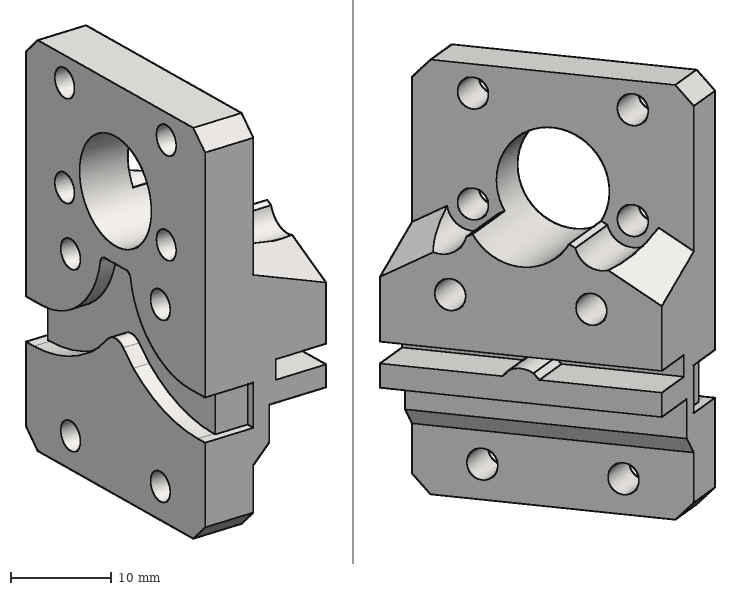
import cadquery as cq
import math


HEIGHT = 45
WIDTH = 30.0
HALF_WIDTH = WIDTH / 2
PLATE_DEPTH = 6.0
DEPTH = 15.0
CORNER_CHAMFER = 2.0

BORE_DIAMETER = 12.0
BORE_Z = 33.25
SCREW_DIAMETER = 3.3
OUTER_SCREW_X = 8.5
INNER_SCREW_X = 7.5
HEAD_SCREW_Z = 30.5
UPPER_SCREW_Z = 42.0
MIDDLE_SCREW_Z = 23.62
LOWER_SCREW_Z = 3.7
HEAD_RADIUS = 2.8

STEP_DEPTH = 7.95
STEP_CHAMFER = STEP_DEPTH - PLATE_DEPTH
STEP_Z = 9.15
BLOCK_BOTTOM = 13.25
BLOCK_TOP = 36
ROOF_EDGE_PLATE_Z = 28.0
ROOF_EDGE_REAR_Z = 24.7
ROOF_SLOPE = 0.55
RIDGE_X = 5.18
RIDGE_Z = 30.1
RIDGE_SLOPE = 0.5

SLOT_DEPTH = 6.2
SLOT_FLOOR = 15.75
SLOT_CEILING = 18
HUMP_HALF_WIDTH = 1.35
HUMP_EDGE_Z = 16.4
HUMP_TOP_Z = 16.75

GROOVE_DEPTH = 2.0
GROOVE_END_BOTTOM = 11.25
GROOVE_END_TOP = 16.2
GROOVE_PEAK = 25.3
UPPER_ARC_RADIUS = 10.12
UPPER_ARC_X = 12.5
LOWER_ARC_RADIUS = 17.32
LOWER_ARC_X = 13.72
LOWER_ARC_END_X = 2.95
GROOVE_FILLET = 0.75
HILL_TOP_Z = 17.15
HILL_RADIUS = 1.8
NOTCH_WIDTH = 1.0


def xz_plane(y):
    """Workplane with local axes X and Z, extruding toward +Y for negative lengths."""
    return cq.Workplane("XZ", origin=(0, y, 0))


def box(x_range, y_range, z_range):
    sizes = [high - low for low, high in (x_range, y_range, z_range)]
    corner = (x_range[0], y_range[0], z_range[0])
    return cq.Workplane("XY").box(*sizes, centered=False).translate(corner)


def plate():
    body = box((-HALF_WIDTH, HALF_WIDTH), (0, PLATE_DEPTH), (0, HEIGHT))
    return body.edges("|Y").chamfer(CORNER_CHAMFER)


def rear_block():
    """Stepped block on the rear face, before its roof is cut."""
    return (
        cq.Workplane("YZ", origin=(-HALF_WIDTH, 0, 0))
        .moveTo(PLATE_DEPTH, STEP_Z - STEP_CHAMFER)
        .lineTo(STEP_DEPTH, STEP_Z)
        .lineTo(STEP_DEPTH, BLOCK_BOTTOM)
        .lineTo(DEPTH, BLOCK_BOTTOM)
        .lineTo(DEPTH, BLOCK_TOP)
        .lineTo(PLATE_DEPTH, BLOCK_TOP)
        .close()
        .extrude(WIDTH)
    )


def roof_section(y, edge_z, side):
    """Region above the inclined roof, from the side wall in to the screw axis."""
    inner_z = edge_z + (HALF_WIDTH - OUTER_SCREW_X) * ROOF_SLOPE
    return cq.Wire.makePolygon(
        [
            cq.Vector(side * HALF_WIDTH, y, edge_z),
            cq.Vector(side * OUTER_SCREW_X, y, inner_z),
            cq.Vector(side * OUTER_SCREW_X, y, BLOCK_TOP),
            cq.Vector(side * HALF_WIDTH, y, BLOCK_TOP),
        ],
        close=True,
    )


def side_roof_cut(side):
    front = roof_section(PLATE_DEPTH, ROOF_EDGE_PLATE_Z, side)
    rear = roof_section(DEPTH, ROOF_EDGE_REAR_Z, side)
    return cq.Workplane(obj=cq.Solid.makeLoft([front, rear], True))


def ridge_cut():
    """Gabled top between the two screw-head clearances."""
    gable_rise = RIDGE_X * RIDGE_SLOPE
    foot_drop = (OUTER_SCREW_X - RIDGE_X) * RIDGE_SLOPE
    return (
        xz_plane(PLATE_DEPTH)
        .moveTo(-OUTER_SCREW_X, RIDGE_Z - foot_drop)
        .lineTo(0, RIDGE_Z + gable_rise)
        .lineTo(OUTER_SCREW_X, RIDGE_Z - foot_drop)
        .lineTo(OUTER_SCREW_X, BLOCK_TOP)
        .lineTo(-OUTER_SCREW_X, BLOCK_TOP)
        .close()
        .extrude(PLATE_DEPTH - DEPTH)
    )


def head_clearances():
    return (
        xz_plane(PLATE_DEPTH)
        .pushPoints([(side * OUTER_SCREW_X, HEAD_SCREW_Z) for side in (-1, 1)])
        .circle(HEAD_RADIUS)
        .extrude(PLATE_DEPTH - DEPTH)
    )


def rear_slot():
    """Slot across the rear face, with a round-topped hump in its floor."""
    foot_x = HUMP_HALF_WIDTH + HUMP_EDGE_Z - SLOT_FLOOR
    return (
        xz_plane(DEPTH - SLOT_DEPTH)
        .moveTo(-HALF_WIDTH, SLOT_FLOOR)
        .lineTo(-foot_x, SLOT_FLOOR)
        .lineTo(-HUMP_HALF_WIDTH, HUMP_EDGE_Z)
        .threePointArc((0, HUMP_TOP_Z), (HUMP_HALF_WIDTH, HUMP_EDGE_Z))
        .lineTo(foot_x, SLOT_FLOOR)
        .lineTo(HALF_WIDTH, SLOT_FLOOR)
        .lineTo(HALF_WIDTH, SLOT_CEILING)
        .lineTo(-HALF_WIDTH, SLOT_CEILING)
        .close()
        .extrude(-SLOT_DEPTH)
    )


def upper_arc_z(x):
    center_z = GROOVE_END_TOP + UPPER_ARC_RADIUS
    return center_z - math.sqrt(UPPER_ARC_RADIUS**2 - (UPPER_ARC_X - x) ** 2)


def lower_arc_z(x):
    center_z = GROOVE_END_BOTTOM + LOWER_ARC_RADIUS
    return center_z - math.sqrt(LOWER_ARC_RADIUS**2 - (LOWER_ARC_X - x) ** 2)


def front_groove():
    """Arched groove between two pairs of arcs, with a rounded hill in its lower edge."""
    peak_drop = GROOVE_END_TOP + UPPER_ARC_RADIUS - GROOVE_PEAK
    peak_x = UPPER_ARC_X - math.sqrt(UPPER_ARC_RADIUS**2 - peak_drop**2)
    upper_middle_x = UPPER_ARC_X - UPPER_ARC_RADIUS * math.sin(math.radians(45))
    upper_middle_z = upper_arc_z(upper_middle_x)
    lower_middle_x = (LOWER_ARC_X + LOWER_ARC_END_X) / 2
    lower_middle_z = lower_arc_z(lower_middle_x)
    lower_end_z = lower_arc_z(LOWER_ARC_END_X)
    hill_x = HILL_RADIUS * math.sin(math.radians(45))
    hill_z = HILL_TOP_Z - HILL_RADIUS + hill_x
    groove = (
        xz_plane(0)
        .moveTo(-HALF_WIDTH, GROOVE_END_BOTTOM)
        .lineTo(-LOWER_ARC_X, GROOVE_END_BOTTOM)
        .threePointArc((-lower_middle_x, lower_middle_z), (-LOWER_ARC_END_X, lower_end_z))
        .lineTo(-hill_x, hill_z)
        .threePointArc((0, HILL_TOP_Z), (hill_x, hill_z))
        .lineTo(LOWER_ARC_END_X, lower_end_z)
        .threePointArc((lower_middle_x, lower_middle_z), (LOWER_ARC_X, GROOVE_END_BOTTOM))
        .lineTo(HALF_WIDTH, GROOVE_END_BOTTOM)
        .lineTo(HALF_WIDTH, GROOVE_END_TOP)
        .lineTo(UPPER_ARC_X, GROOVE_END_TOP)
        .threePointArc((upper_middle_x, upper_middle_z), (peak_x, GROOVE_PEAK))
        .lineTo(-peak_x, GROOVE_PEAK)
        .threePointArc((-upper_middle_x, upper_middle_z), (-UPPER_ARC_X, GROOVE_END_TOP))
        .lineTo(-HALF_WIDTH, GROOVE_END_TOP)
        .close()
        .extrude(-GROOVE_DEPTH)
    )
    return groove.edges("|Y").edges(">Z").fillet(GROOVE_FILLET)


def edge_notch(side):
    """Notch through the plate's thickness at one end of the groove."""
    x_range = sorted((side * (HALF_WIDTH - NOTCH_WIDTH), side * HALF_WIDTH))
    return box(x_range, (0, PLATE_DEPTH), (GROOVE_END_BOTTOM, GROOVE_END_TOP))


def through_holes():
    screw_rows = [
        (OUTER_SCREW_X, UPPER_SCREW_Z),
        (OUTER_SCREW_X, HEAD_SCREW_Z),
        (INNER_SCREW_X, MIDDLE_SCREW_Z),
        (INNER_SCREW_X, LOWER_SCREW_Z),
    ]
    points = [(side * x, z) for x, z in screw_rows for side in (-1, 1)]
    screws = xz_plane(0).pushPoints(points).circle(SCREW_DIAMETER / 2).extrude(-DEPTH)
    bore = xz_plane(0).center(0, BORE_Z).circle(BORE_DIAMETER / 2).extrude(-DEPTH)
    return screws.union(bore)


block = rear_block().cut(ridge_cut()).cut(head_clearances())
for block_side in (-1, 1):
    block = block.cut(side_roof_cut(block_side))

result = plate().union(block).cut(through_holes()).cut(rear_slot()).cut(front_groove())
for plate_side in (-1, 1):
    result = result.cut(edge_notch(plate_side))